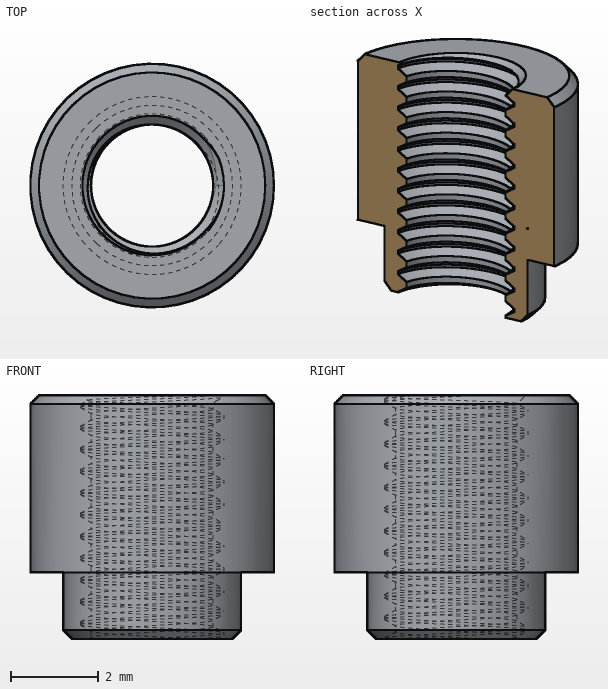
import cadquery as cq
import math

total_height = 5.6
body_diameter = 5.6
pilot_diameter = 4.09
pilot_height = 1.53
edge_chamfer = 0.2

bore_diameter = 2.8
thread_major_diameter = 3.3
pitch = 0.5
flank_angle = math.radians(30)
root_flat = pitch / 8
cutter_overlap = 0.03


def stepped_cylinder():
    """Solid of revolution: chamfered pilot below a chamfered body."""
    body_radius = body_diameter / 2
    pilot_radius = pilot_diameter / 2
    half_profile = [
        (0, 0),
        (pilot_radius - edge_chamfer, 0),
        (pilot_radius, edge_chamfer),
        (pilot_radius, pilot_height),
        (body_radius, pilot_height),
        (body_radius, total_height - edge_chamfer),
        (body_radius - edge_chamfer, total_height),
        (0, total_height),
    ]
    return cq.Workplane("XZ").polyline(half_profile).close().revolve(360, (0, 0), (0, 1))


def bore_with_countersink():
    """Cutter for the through bore and the countersink at its upper mouth."""
    bore_radius = bore_diameter / 2
    half_profile = [
        (0, 0),
        (bore_radius, 0),
        (bore_radius, total_height - edge_chamfer),
        (bore_radius + edge_chamfer, total_height),
        (0, total_height),
    ]
    return cq.Workplane("XZ").polyline(half_profile).close().revolve(360, (0, 0), (0, 1))


def thread_groove_turn(start_z):
    """Cutter for one turn of the groove, its centre starting at start_z on the +X side."""
    inner_radius = bore_diameter / 2 - cutter_overlap
    major_radius = thread_major_diameter / 2
    half_root = root_flat / 2
    half_mouth = half_root + (major_radius - inner_radius) * math.tan(flank_angle)
    groove_profile = [
        (inner_radius, start_z - half_mouth),
        (major_radius, start_z - half_root),
        (major_radius, start_z + half_root),
        (inner_radius, start_z + half_mouth),
    ]
    helix = cq.Wire.makeHelix(pitch, pitch, inner_radius, cq.Vector(0, 0, start_z))
    return cq.Workplane("XZ").polyline(groove_profile).close().sweep(cq.Workplane(helix), isFrenet=True)


standoff = stepped_cylinder().cut(bore_with_countersink())
turns_below_top = math.ceil(total_height / pitch)
for turn in range(turns_below_top + 1):
    standoff = standoff.cut(thread_groove_turn(total_height - turn * pitch))

result = standoff.solids()